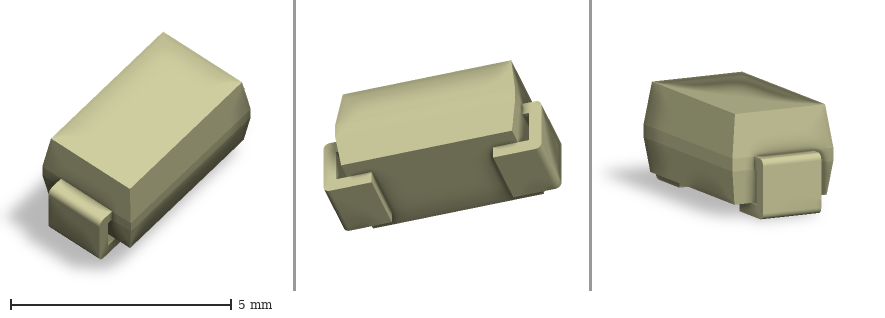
import cadquery as cq
import math

total_length = 5.2
total_height = 2.4
body_width = 2.6
body_length = 4.3
draft_angle = 8.0

lead_thickness = 0.3
lead_width = 1.5
lead_height = 1.405
foot_length = 1.15
bend_radius = 0.15

belt_top = lead_height
belt_bottom = belt_top - lead_thickness
body_bottom = lead_thickness


def tapered_block(start_z, end_z):
    """Block from the belt outline at start_z, narrowing towards end_z."""
    height = abs(end_z - start_z)
    inset = height * math.tan(math.radians(draft_angle))
    return (
        cq.Workplane("XY", origin=(0, 0, start_z))
        .rect(body_width, body_length)
        .workplane(offset=end_z - start_z)
        .rect(body_width - 2 * inset, body_length - 2 * inset)
        .loft(ruled=True)
    )


def make_body():
    belt = (
        cq.Workplane("XY", origin=(0, 0, belt_bottom))
        .rect(body_width, body_length)
        .extrude(lead_thickness)
    )
    upper = tapered_block(belt_top, total_height)
    lower = tapered_block(belt_bottom, body_bottom)
    return belt.union(upper).union(lower)


def make_lead():
    """C-shaped lead at the +Y end, with rounded outer bends and sharp inner ones."""
    outer_y = total_length / 2
    inner_y = outer_y - lead_thickness
    foot_end_y = outer_y - foot_length
    body_end_y = body_length / 2
    return (
        cq.Workplane("YZ")
        .moveTo(foot_end_y, 0)
        .lineTo(outer_y, 0)
        .lineTo(outer_y, belt_top)
        .lineTo(body_end_y, belt_top)
        .lineTo(body_end_y, belt_bottom)
        .lineTo(inner_y, belt_bottom)
        .lineTo(inner_y, lead_thickness)
        .lineTo(foot_end_y, lead_thickness)
        .close()
        .extrude(lead_width / 2, both=True)
        .faces(">Y")
        .edges("|X")
        .fillet(bend_radius)
    )


lead = make_lead()
result = make_body().union(lead).union(lead.mirror("XZ"))